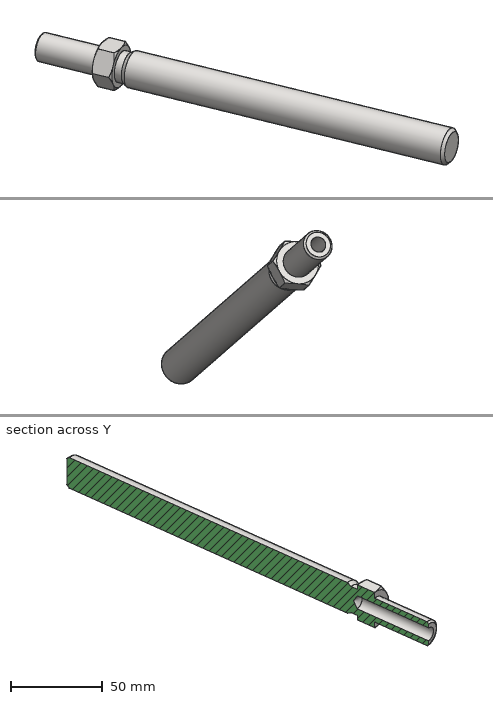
import cadquery as cq
import math

total_length = 249.0
hex_start = 37.0
hex_width = 12.0
hex_end = hex_start + hex_width
body_start = 53.3

spigot_diameter = 16.5
neck_diameter = 18.0
body_diameter = 21.0
spigot_chamfer_length = 1.0
spigot_chamfer_depth = 1.2
shoulder_chamfer_length = 2.5
body_chamfer = 1.7

hex_across_flats = 24.0
hex_across_corners = hex_across_flats / math.cos(math.radians(30))
hex_face_diameter = hex_across_flats
hex_chamfer_angle = 30.0

bore_diameter = 8.5
bore_depth = hex_end
drill_point_angle = 118.0


def revolve_about_x(profile):
    """Revolve a closed (x, radius) profile about the X axis."""
    return cq.Workplane("XY").polyline(profile).close().revolve(360, (0, 0, 0), (1, 0, 0))


def make_shaft():
    spigot_radius = spigot_diameter / 2
    neck_radius = neck_diameter / 2
    body_radius = body_diameter / 2
    return revolve_about_x([
        (0, 0),
        (0, spigot_radius - spigot_chamfer_depth),
        (spigot_chamfer_length, spigot_radius),
        (hex_start, spigot_radius),
        (hex_start, neck_radius),
        (body_start, neck_radius),
        (body_start + shoulder_chamfer_length, body_radius),
        (total_length - body_chamfer, body_radius),
        (total_length, body_radius - body_chamfer),
        (total_length, 0),
    ])


def make_hexagon():
    prism = (
        cq.Workplane("YZ")
        .workplane(offset=hex_start)
        .polygon(6, hex_across_corners)
        .extrude(hex_width)
    )
    face_radius = hex_face_diameter / 2
    corner_radius = hex_across_corners / 2
    chamfer_length = (corner_radius - face_radius) * math.tan(math.radians(hex_chamfer_angle))
    coned_disc = revolve_about_x([
        (hex_start, 0),
        (hex_start, face_radius),
        (hex_start + chamfer_length, corner_radius),
        (hex_end - chamfer_length, corner_radius),
        (hex_end, face_radius),
        (hex_end, 0),
    ])
    return prism.intersect(coned_disc)


def make_bore():
    bore_radius = bore_diameter / 2
    tip_length = bore_radius / math.tan(math.radians(drill_point_angle / 2))
    return revolve_about_x([
        (0, 0),
        (0, bore_radius),
        (bore_depth, bore_radius),
        (bore_depth + tip_length, 0),
    ])


result = make_shaft().union(make_hexagon()).cut(make_bore())